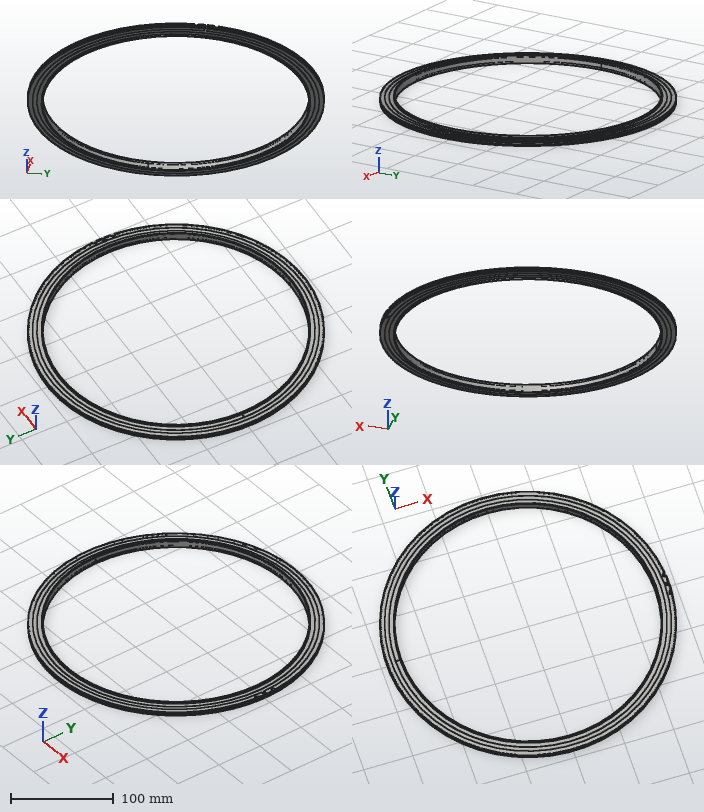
import cadquery as cq
import math


bore_radius = 129.3
lip_radius = 130.5
lip_height = 8.0
inner_slit_width = 0.3

flange_height = 4.3

cord_radius = 3.0
cord_centre_radius = 137.0
seat_clearance = 0.15
seat_radius_offset = 1.7

outer_radius = 143.85
groove_radius = 142.9
groove_height = 2.0
gap_width = 2.5
notch_radius = 2.3
notch_spacing = 20.2
notch_centre_x = 143.0

overall_width = 288.0
wire_diameter = 2.0
wire_arc_radius = overall_width - outer_radius - wire_diameter / 2
wire_half_angle = math.degrees(math.asin(notch_spacing / 2 / wire_arc_radius))


def annulus(inside, outside, height):
    """Flat ring centred on the XY plane."""
    return cq.Workplane("XY").circle(outside).circle(inside).extrude(height / 2, both=True)


def radial_slit(start_x, end_x, width):
    """Block that cuts a ring right through along the X axis."""
    middle_x = (start_x + end_x) / 2
    return cq.Workplane("XY").box(end_x - start_x, width, lip_height).translate((middle_x, 0, 0))


def make_o_ring():
    """Ring of round cord."""
    return cq.Workplane("XY").add(cq.Solid.makeTorus(cord_centre_radius, cord_radius))


def make_seat():
    """Round-section cutter for the concave O-ring seats."""
    return cq.Workplane("XY").add(cq.Solid.makeTorus(cord_centre_radius, cord_radius + seat_clearance))


def make_inner_ring(seat):
    """Bore lip with a flange that seats the O-ring, split on the -X side."""
    lip = annulus(bore_radius, lip_radius, lip_height)
    flange = annulus(bore_radius, cord_centre_radius - seat_radius_offset, flange_height)
    slit = radial_slit(-cord_centre_radius, -bore_radius / 2, inner_slit_width)
    return lip.union(flange).cut(seat).cut(slit)


def make_notches():
    """Round blind notches at the rim, open at the top and ending on the lower groove face."""
    depth = flange_height / 2 + groove_height / 2
    return (
        cq.Workplane("XY", origin=(notch_centre_x, 0, -groove_height / 2))
        .rarray(3, notch_spacing, 1, 2)
        .circle(notch_radius)
        .extrude(depth)
    )


def make_outer_ring(seat, wire):
    """Ring with a groove around its rim, a +X gap and two notches, hollowed to seat the wire."""
    ring = annulus(cord_centre_radius + seat_radius_offset, outer_radius, flange_height)
    groove = annulus(groove_radius, overall_width, groove_height)
    gap = radial_slit(cord_centre_radius, overall_width / 2, gap_width)
    return ring.cut(groove).cut(gap).cut(make_notches()).cut(seat).cut(wire)


def make_wire():
    """Arc of round wire centred on the +X axis."""
    profile = cq.Workplane("XZ").center(wire_arc_radius, 0).circle(wire_diameter / 2)
    arc = profile.revolve(2 * wire_half_angle, (-wire_arc_radius, 0), (-wire_arc_radius, 1))
    start_angle = math.degrees(math.atan2(arc.val().Center().y, arc.val().Center().x))
    return arc.rotate((0, 0, 0), (0, 0, 1), -start_angle)


seat = make_seat()
wire = make_wire()
o_ring = make_o_ring()
inner_ring = make_inner_ring(seat)
outer_ring = make_outer_ring(seat, wire)

result = cq.Compound.makeCompound([inner_ring.val(), o_ring.val(), outer_ring.val(), wire.val()])